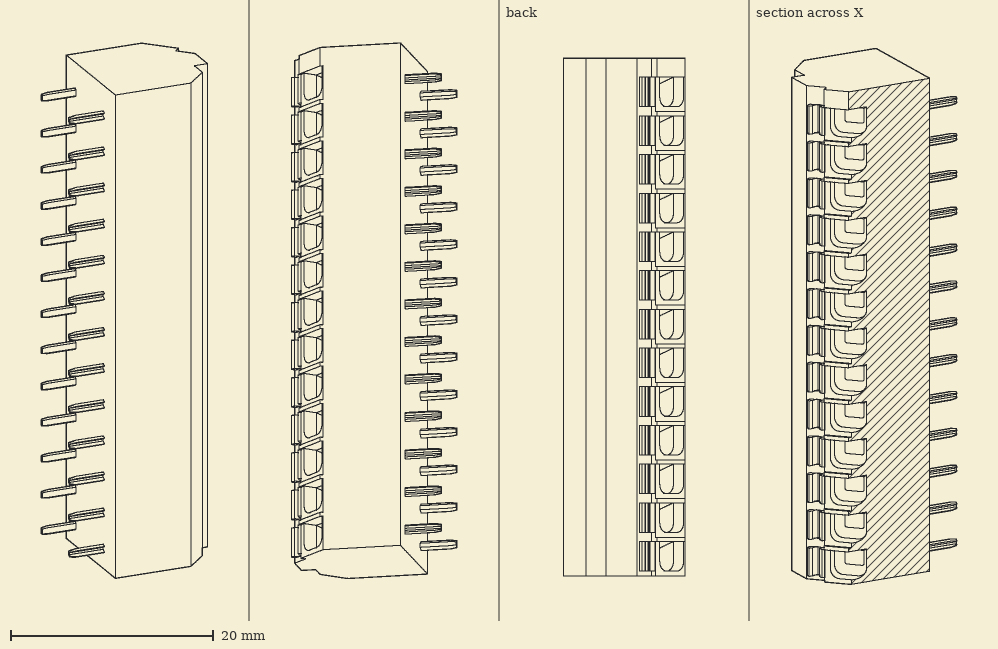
import cadquery as cq
import math


length = 51.05
width = 12.0
half_width = width / 2
top_height = 11.8
shoulder_height = 8.1
step_height = 10.35
step_x = 1.8
notch_x = -2.7
notch_height = 10.35

pole_count = 13
end_plate = 1.5
pitch = (length - end_plate) / pole_count

entry_top_offset = 0.4
recess_height = pitch - entry_top_offset
recess_drop = 0.3
hole_height = 2.9
hole_low_y = 8.1
hole_high_y = 10.45
hole_corner_radius = 0.9
hole_straight_depth = 1.65
funnel_depth = 1.35
funnel_taper = 27

lever_height = 2.9
lever_top = 11.95
slot_low_edge = (-2.55, 11.0)
slot_high_edge = (-2.1, 11.6)

overall_depth = 15.55
pin_length = overall_depth - lever_top
pin_root = 0.5
pin_offset = 1.7
pin_height = 0.9
pin_wall = 0.3
lip_length = 0.25
groove_half = 0.1
tip_length = 0.6
tip_inset = 0.1
left_pin = {"web_x": -3.6, "depth": 0.45, "web_height": 0.6, "side": -1}
right_pin = {"web_x": 2.7, "depth": 0.6, "web_height": 0.4, "side": 1}


def prism(points, z_low, height):
    """Extrude an XY outline upward from z_low."""
    return cq.Workplane("XY").workplane(offset=z_low).polyline(points).close().extrude(height)


flank_foot = (-half_width, shoulder_height)
flank_rise = (notch_x + half_width + notch_height - shoulder_height) / 2
crest = (-half_width + flank_rise, shoulder_height + flank_rise)


def make_housing():
    outline = [
        (-half_width, 0),
        flank_foot,
        crest,
        (notch_x, notch_height),
        (notch_x + top_height - notch_height, top_height),
        (step_x, top_height),
        (step_x, step_height),
        (half_width - (step_height - shoulder_height), step_height),
        (half_width, shoulder_height),
        (half_width, 0),
    ]
    return prism(outline, 0, length)


def make_recess(z_top):
    """Slab that sinks the left flank of one pole, open to the side wall and the notch."""
    shift = recess_drop / 2
    outline = [
        (flank_foot[0], flank_foot[1] - recess_drop),
        (crest[0] + shift, crest[1] - shift),
        crest,
        flank_foot,
    ]
    return prism(outline, z_top - recess_height, recess_height)


def make_wire_hole(z_top):
    """Hole square to the flank with round lower corners, narrowing into a funnel."""
    middle_y = (hole_low_y + hole_high_y) / 2
    middle_x = middle_y - shoulder_height - half_width
    hole_width = (hole_high_y - hole_low_y) * math.sqrt(2)
    mouth = cq.Plane(
        origin=(middle_x, middle_y, z_top - hole_height / 2),
        xDir=(-1, -1, 0),
        normal=(1, -1, 0),
    )

    def section(depth):
        right = hole_width / 2
        top = -hole_height / 2
        bottom = hole_height / 2
        radius = hole_corner_radius
        return (
            cq.Workplane(mouth)
            .workplane(offset=depth)
            .moveTo(-right, top)
            .lineTo(right, top)
            .lineTo(right, bottom - radius)
            .radiusArc((right - radius, bottom), -radius)
            .lineTo(-right + radius, bottom)
            .radiusArc((-right, bottom - radius), -radius)
            .close()
        )

    straight = section(0).extrude(hole_straight_depth)
    funnel = section(hole_straight_depth).extrude(funnel_depth, taper=funnel_taper)
    return straight.union(funnel)


def make_lever(z_top):
    """Release lever: a low lip and a high lip rising from the two walls of the notch."""
    low_lip = [(-3.05, 10.55), (-3.05, 10.75), (-3.0, 11.0), slot_low_edge, (-2.3, 10.35), (notch_x, 10.2)]
    high_lip = [(-1.85, 10.8), slot_high_edge, (-2.05, lever_top), (-1.75, lever_top), (-1.5, 11.5)]
    z_low = z_top - lever_height
    return prism(low_lip, z_low, lever_height).union(prism(high_lip, z_low, lever_height))


def make_driver_slot(z_top):
    """Screwdriver slot between the two lips, sunk a little into the notch wall."""
    outline = [slot_low_edge, (-2.45, 10.7), (-1.85, 10.8), slot_high_edge]
    return prism(outline, z_top - lever_height, lever_height)


def make_pin(web_x, depth, web_height, side, z_middle):
    """Channel-shaped pin whose flanges open toward the given side and draw in at the tip."""

    def section(y, inset):
        web_half = web_height / 2 - inset / 2
        shoulder_half = pin_height / 2 - inset
        shoulder = web_x + side * (depth - lip_length)
        edge = web_x + side * (depth - inset)
        edge_half = shoulder_half - pin_wall / 2
        groove = web_x + side * pin_wall
        upper_half = [
            (groove, groove_half),
            (edge, edge_half),
            (shoulder, shoulder_half),
            (web_x, web_half),
        ]
        lower_half = [(x, -z) for x, z in reversed(upper_half)]
        outline = upper_half + lower_half
        plane = cq.Plane(origin=(0, y, z_middle), xDir=(1, 0, 0), normal=(0, -1, 0))
        return cq.Workplane(plane).polyline(outline).close()

    shank_end = tip_length - pin_length
    shank = section(pin_root, 0).extrude(pin_root - shank_end)
    tip_end = section(-pin_length, tip_inset).wires().val()
    tip_start = section(shank_end, 0).wires().val()
    tip = cq.Workplane(cq.Solid.makeLoft([tip_start, tip_end], True))
    return shank.union(tip)


result = make_housing()
for pole in range(pole_count):
    pole_top = (pole + 1) * pitch
    entry_top = pole_top - entry_top_offset
    result = result.cut(make_recess(entry_top))
    result = result.cut(make_wire_hole(entry_top))
    result = result.union(make_lever(entry_top))
    result = result.cut(make_driver_slot(entry_top))
    for pin in (left_pin, right_pin):
        result = result.union(make_pin(z_middle=pole_top - pin_offset, **pin))